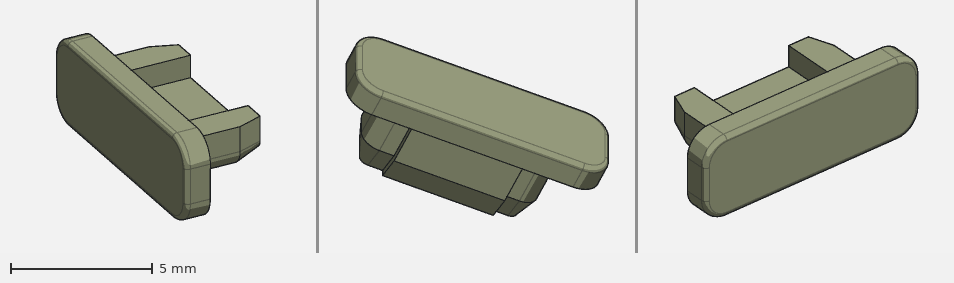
import cadquery as cq
import math

plate_width = 9.8
plate_height = 3.4
plate_thickness = 1.0
corner_radius = 1.0
edge_radius = 0.2

plug_width = 6.82
plug_length = 3.0
plug_half_height = 1.0
channel_width = 4.29
channel_floor_z = 0.1
leg_corner_radius = 0.7

taper_length = 1.0
taper_angle = 20.0
taper_inset = taper_length * math.tan(math.radians(taper_angle))

total_depth = plate_thickness + plug_length
taper_start_y = total_depth - taper_length


def make_plate():
    """Rounded rectangular plate with a rounded front edge."""
    plate = cq.Workplane("XY").box(
        plate_width, plate_thickness, plate_height, centered=(True, False, True)
    )
    plate = plate.edges("|Y").fillet(corner_radius)
    return plate.faces("<Y").edges().fillet(edge_radius)


def leg_profile(y, inset):
    """Section of the +X leg at depth y, with its outer side and underside moved in by inset."""
    inner_x = channel_width / 2
    outer_x = plug_width / 2 - inset
    radius = leg_corner_radius - inset
    arc_center_x = outer_x - radius
    diagonal = radius * math.sqrt(0.5)
    return (
        cq.Workplane("XZ", origin=(0, y, 0))
        .moveTo(inner_x, plug_half_height)
        .lineTo(outer_x, plug_half_height)
        .lineTo(outer_x, 0)
        .threePointArc((arc_center_x + diagonal, -diagonal), (arc_center_x, -radius))
        .lineTo(inner_x, -radius)
        .close()
    )


def make_leg():
    """The +X leg: a straight stretch followed by the tapered tip."""
    straight = leg_profile(plate_thickness, 0).extrude(plate_thickness - taper_start_y)
    tip_start = leg_profile(taper_start_y, 0).val()
    tip_end = leg_profile(total_depth, taper_inset).val()
    tip = cq.Solid.makeLoft([tip_start, tip_end], True)
    return straight.union(cq.Workplane(tip))


def make_middle_block():
    """Block between the legs, with a flat floor on top and a sloped underside at the tip."""
    return (
        cq.Workplane("YZ")
        .moveTo(plate_thickness, channel_floor_z)
        .lineTo(total_depth, channel_floor_z)
        .lineTo(total_depth, taper_inset - plug_half_height)
        .lineTo(taper_start_y, -plug_half_height)
        .lineTo(plate_thickness, -plug_half_height)
        .close()
        .extrude(channel_width / 2, both=True)
    )


right_leg = make_leg()
left_leg = right_leg.mirror("YZ")
result = make_plate().union(make_middle_block()).union(right_leg).union(left_leg)